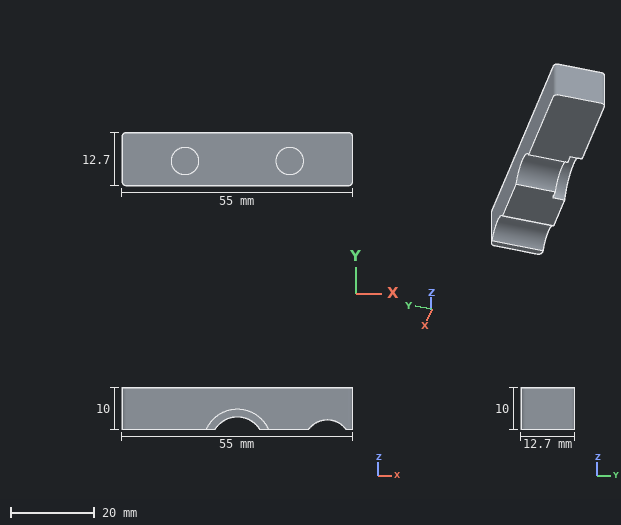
import cadquery as cq

length = 55.0
width = 12.7
height = 10.0
corner_radius = 1.05

channel_axis_z = -3.25
center_channel_radius = 6.25
center_recess_radius = 8.15
recess_depth = 2.95
side_channel_x = 21.45
side_channel_radius = 5.55

hole_diameter = 6.55
hole_depth = 2.95
hole_spacing = 24.95
hole_center_y = -0.45


def channel(x, radius, y_start, y_length):
    """Cylinder along +Y that starts at y_start."""
    return (
        cq.Workplane("XZ", origin=(x, y_start, channel_axis_z))
        .circle(radius)
        .extrude(-y_length)
    )


front_y = -width / 2

block = (
    cq.Workplane("XY")
    .box(length, width, height, centered=(True, True, False))
    .edges("|Z")
    .fillet(corner_radius)
)

block = block.cut(channel(0, center_channel_radius, front_y, width))
block = block.cut(channel(0, center_recess_radius, front_y, recess_depth))

block = block.cut(channel(side_channel_x, side_channel_radius, front_y, width))

hole_positions = [
    (-hole_spacing / 2, hole_center_y),
    (hole_spacing / 2, hole_center_y),
]
holes = (
    cq.Workplane("XY", origin=(0, 0, height))
    .pushPoints(hole_positions)
    .circle(hole_diameter / 2)
    .extrude(-hole_depth)
)

result = block.cut(holes)